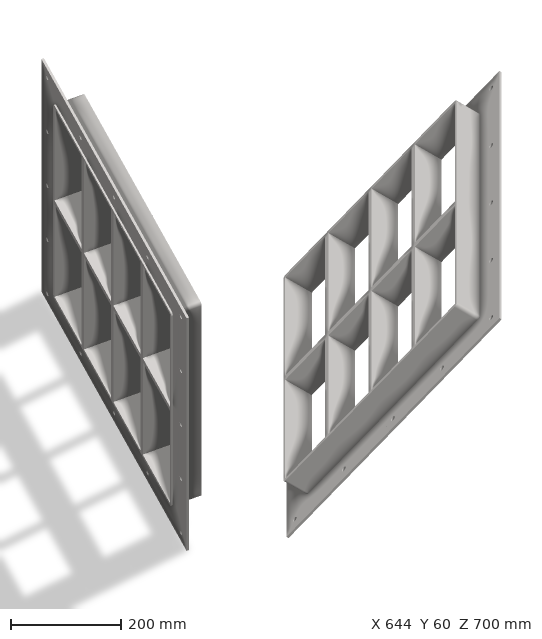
import cadquery as cq

flange_width = 644.0
flange_height = 700.0
flange_thickness = 5.0

frame_width = 523.5
frame_height = 582.5
frame_depth = 60.0
frame_corner_radius = 7.0
front_lip = 3.5
side_wall = 5.5
end_wall = 7.0

columns = 4
rows = 2
upright_thickness = 10.0
crossbar_thickness = 12.0

hole_diameter = 10.5
hole_inset = 25.0
holes_per_side = 5

frame_front = 0.0
flange_front = frame_front + front_lip
opening_width = (frame_width - 2 * side_wall - (columns - 1) * upright_thickness) / columns
opening_height = (frame_height - 2 * end_wall - (rows - 1) * crossbar_thickness) / rows
hole_pitch_x = (flange_width - 2 * hole_inset) / (holes_per_side - 1)
hole_pitch_z = (flange_height - 2 * hole_inset) / (holes_per_side - 1)


def upright_block(width, height, front, depth):
    """Block centred on X and Z, extending from its front face toward +Y."""
    return cq.Workplane("XZ", origin=(0, front, 0)).rect(width, height).extrude(-depth)


def make_frame():
    block = upright_block(frame_width, frame_height, frame_front, frame_depth)
    return block.edges("|Y").fillet(frame_corner_radius)


def make_openings():
    return (
        cq.Workplane("XZ", origin=(0, frame_front, 0))
        .rarray(opening_width + upright_thickness, opening_height + crossbar_thickness, columns, rows)
        .rect(opening_width, opening_height)
        .extrude(-frame_depth)
    )


def make_bolt_holes():
    last = holes_per_side - 1
    points = []
    for i in range(holes_per_side):
        for j in range(holes_per_side):
            if i in (0, last) or j in (0, last):
                points.append(((i - last / 2) * hole_pitch_x, (j - last / 2) * hole_pitch_z))
    return (
        cq.Workplane("XZ", origin=(0, flange_front, 0))
        .pushPoints(points)
        .circle(hole_diameter / 2)
        .extrude(-flange_thickness)
    )


flange = upright_block(flange_width, flange_height, flange_front, flange_thickness)
result = flange.union(make_frame()).cut(make_openings()).cut(make_bolt_holes())